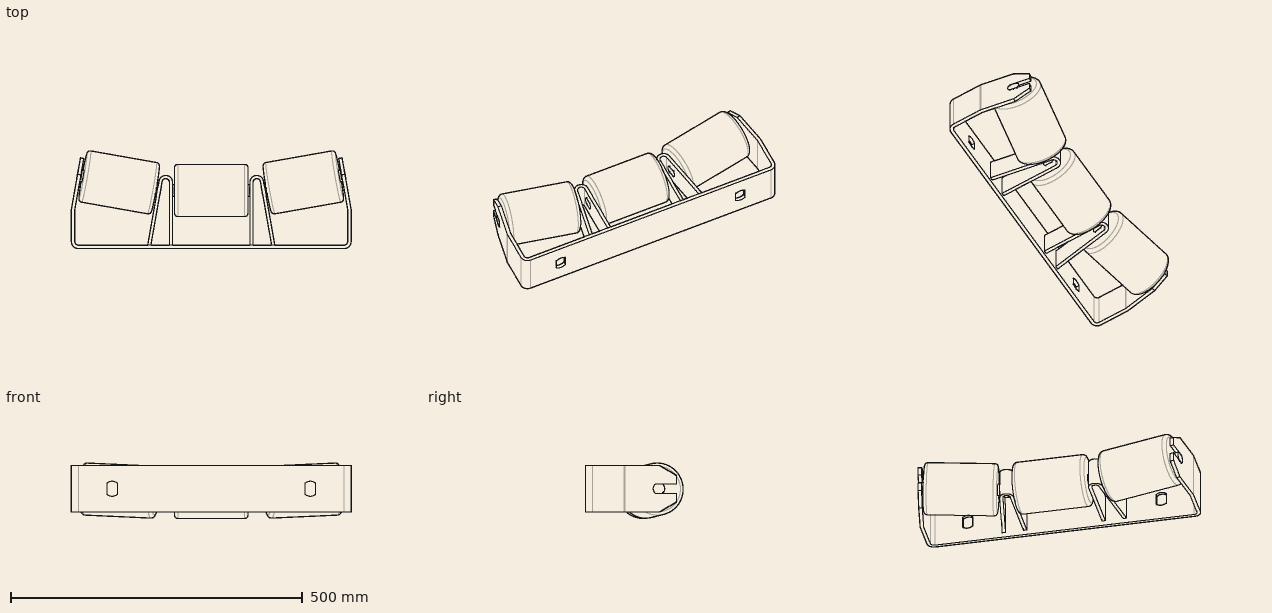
import cadquery as cq
import math

frame_length = 480.0
strip_height = 80.0
thickness = 6.0
corner_radius = 12.5
arm_kink_y = 67.0
arm_end_y = 156.0
arm_bend_radius = 9.0
arm_chamfer_run = 29.0
arm_chamfer_drop = 17.0
mount_hole_diameter = 26.0
mount_hole_width = 18.0
mount_hole_spacing = 340.0

support_thickness = 6.0
support_height = 50.0
support_gap = 132.0
hairpin_radius = 12.0
hairpin_loop_y = 114.0

roller_diameter = 90.0
roller_length = 126.0
roller_end_fillet = 6.0
shaft_diameter = 20.0
shaft_flat_height = 16.0
centre_roller_y = 100.0
centre_roller_drop = 6.0
yaw = 10.0

frame_half = frame_length / 2
strip_half = strip_height / 2
yaw_sin = math.sin(math.radians(yaw))
yaw_cos = math.cos(math.radians(yaw))
outward = cq.Vector(-yaw_cos, yaw_sin, 0)
along_arm = cq.Vector(yaw_sin, yaw_cos, 0)
loop_centre = cq.Vector(-support_gap / 2 - hairpin_radius, hairpin_loop_y, 0)
arm_kink = cq.Vector(-frame_half, arm_kink_y, 0)

arm_distance = (arm_kink - loop_centre).dot(outward)
side_gap = arm_distance - thickness - hairpin_radius
side_offset = hairpin_radius + side_gap / 2
axis_below_loop = hairpin_loop_y - centre_roller_y

tilt = math.degrees(math.asin(centre_roller_drop / (side_gap + thickness)))
shoulder_clearance = shaft_diameter / 2 * math.tan(math.radians(tilt))
side_roller_position = loop_centre + outward * side_offset - along_arm * axis_below_loop
side_roller_position += cq.Vector(0, 0, -centre_roller_drop / 2)
centre_roller_position = cq.Vector(0, centre_roller_y, -centre_roller_drop)


def extrude_plan(profile, height):
    """Extrude a closed plan profile along Z, centred on Z = 0."""
    return profile.extrude(height).translate((0, 0, -height / 2))


def mirrored(body):
    return body.mirror("YZ")


def make_flatted_bar(plane, diameter, width, length):
    """Round bar centred on the origin, with two flats that face along the plane's local Y."""
    start = cq.Workplane(plane).workplane(offset=-length / 2)
    bar = start.circle(diameter / 2).extrude(length)
    flats = start.rect(diameter, width).extrude(length)
    return bar.intersect(flats)


def make_flatted_shaft(length):
    """Shaft section along X with the flats of the shaft ends, above and below."""
    plane = cq.Plane(origin=(0, 0, 0), xDir=(0, 1, 0), normal=(1, 0, 0))
    return make_flatted_bar(plane, shaft_diameter, shaft_flat_height, length)


def make_cylinder(diameter, length):
    start = cq.Workplane("YZ").workplane(offset=-length / 2)
    return start.circle(diameter / 2).extrude(length)


def make_roller(gap, left_sheet, right_sheet):
    """Roller with a round shaft across the gap and flatted ends through the sheets beside it."""
    drum = make_cylinder(roller_diameter, roller_length).edges("%CIRCLE").fillet(roller_end_fillet)
    round_shaft = make_cylinder(shaft_diameter, gap - 2 * shoulder_clearance)
    ends = make_flatted_shaft(gap + left_sheet + right_sheet)
    ends = ends.translate(((right_sheet - left_sheet) / 2, 0, 0))
    return drum.union(round_shaft).union(ends)


def place_centre(body):
    return body.translate(centre_roller_position)


def place_left(body):
    """Move a body lying along X to the tilted and turned axis of the left roller."""
    tilted = body.rotate((0, 0, 0), (0, 1, 0), tilt)
    turned = tilted.rotate((0, 0, 0), (0, 0, 1), -yaw)
    return turned.translate(side_roller_position)


def make_channel():
    """Back wall and the straight parts of both arms."""
    outer = extrude_plan(cq.Workplane("XY").rect(frame_length, 2 * arm_kink_y), strip_height)
    outer = outer.edges("|Z").fillet(corner_radius)
    inner_plan = cq.Workplane("XY").rect(frame_length - 2 * thickness, 2 * (arm_kink_y - thickness))
    inner = extrude_plan(inner_plan, strip_height)
    inner = inner.edges("|Z").fillet(corner_radius - thickness)
    closed_ring = outer.cut(inner).translate((0, arm_kink_y, 0))
    keep_back = cq.Workplane("XY").box(frame_length, arm_kink_y, strip_height, centered=(True, False, True))
    return closed_ring.intersect(keep_back)


def make_left_arm_plate():
    """Leaning end of the left arm, with a chamfered tip and an open slot for the shaft."""
    plane = cq.Plane(origin=arm_kink.toTuple(), xDir=along_arm.toTuple(), normal=outward.toTuple())
    length = (arm_end_y - arm_kink_y) / yaw_cos
    chamfer_start = length - arm_chamfer_run
    tip_half = strip_half - arm_chamfer_drop
    plate = (
        cq.Workplane(plane)
        .polyline([
            (0, -strip_half), (chamfer_start, -strip_half), (length, -tip_half),
            (length, tip_half), (chamfer_start, strip_half), (0, strip_half),
        ])
        .close()
        .extrude(-thickness)
    )
    shaft_seat = (loop_centre - arm_kink).dot(along_arm) - axis_below_loop
    slot_length = length - shaft_seat
    slot = (
        cq.Workplane(plane)
        .center(shaft_seat + slot_length / 2, 0)
        .rect(slot_length, shaft_flat_height)
        .extrude(-thickness)
    )
    return plate.cut(slot)


def round_arm_kinks(frame):
    """Round the outer and inner edges of the bend in each arm."""
    inner_kink_x = frame_half - thickness
    inner_kink_y = arm_kink_y - thickness * math.tan(math.radians(yaw / 2))
    for x, y, radius in (
        (frame_half, arm_kink_y, arm_bend_radius),
        (inner_kink_x, inner_kink_y, arm_bend_radius - thickness),
    ):
        for side in (-1, 1):
            kink = cq.selectors.NearestToPointSelector((side * x, y, 0))
            frame = frame.edges("|Z").edges(kink).fillet(radius)
    return frame


def make_frame():
    plate = make_left_arm_plate()
    frame = round_arm_kinks(make_channel().union(plate).union(mirrored(plate)))
    plane = cq.Plane(origin=(0, 0, 0), xDir=(0, 0, 1), normal=(0, 1, 0))
    mount_hole = make_flatted_bar(plane, mount_hole_diameter, mount_hole_width, 4 * thickness)
    for side in (-1, 1):
        frame = frame.cut(mount_hole.translate((side * mount_hole_spacing / 2, 0, 0)))
    return frame.cut(left_shaft).cut(mirrored(left_shaft))


def make_left_support():
    """Sheet loop with a straight leg, a leaning leg and a shaft hole in each."""
    inner_radius = hairpin_radius - support_thickness
    foot_y = thickness

    def leg_foot(radius):
        """Where the leaning leg's face meets the back wall."""
        face = loop_centre + outward * radius
        return face - along_arm * ((face.y - foot_y) / yaw_cos)

    def face_profile(radius):
        """Closed outline of the hairpin at this loop radius."""
        foot = leg_foot(radius)
        tangent = loop_centre + outward * radius
        straight_x = loop_centre.x + radius
        return (
            cq.Workplane("XY")
            .moveTo(straight_x, foot_y)
            .lineTo(straight_x, loop_centre.y)
            .threePointArc((loop_centre.x, loop_centre.y + radius), (tangent.x, tangent.y))
            .lineTo(foot.x, foot.y)
            .close()
        )

    outer = extrude_plan(face_profile(hairpin_radius), support_height)
    inner = extrude_plan(face_profile(inner_radius), support_height)
    support = outer.cut(inner).translate((0, 0, -centre_roller_drop))
    return support.cut(left_shaft).cut(centre_shaft)


seat_allowance = 4 * thickness
centre_shaft = place_centre(make_flatted_shaft(support_gap + seat_allowance))
left_shaft = place_left(make_flatted_shaft(side_gap + seat_allowance))

frame = make_frame()
left_support = make_left_support()
supports = [left_support, mirrored(left_support)]
left_roller = place_left(make_roller(side_gap, thickness, support_thickness))
centre_roller = place_centre(make_roller(support_gap, support_thickness, support_thickness))
rollers = [centre_roller, left_roller, mirrored(left_roller)]

result = cq.Compound.makeCompound([body.solids().val() for body in [frame, *supports, *rollers]])